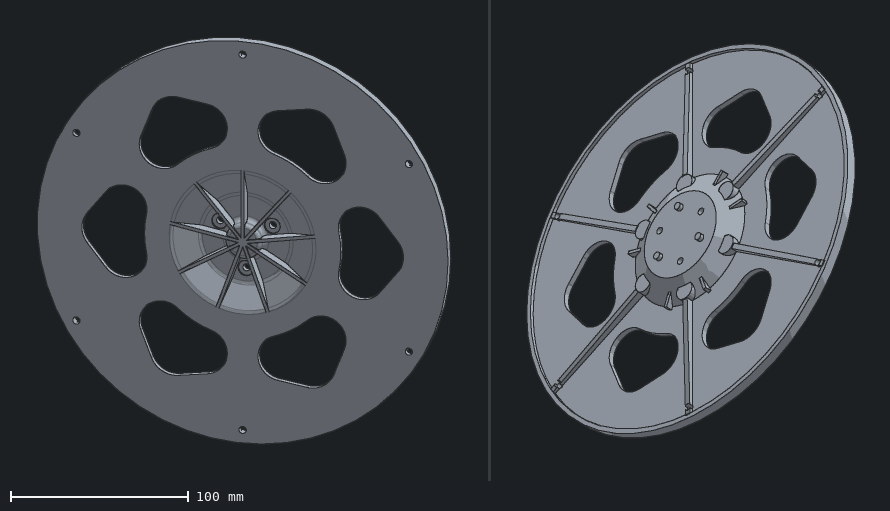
import cadquery as cq
import math

disc_radius = 120.0
sheet_thickness = 3.8
rim_height = 6.2
rim_wall = 3.0

window_count = 6
window_inner_radius = 57.4
window_corner_radius = 13.5
window_corner_angle = 11.5
window_tip_radius = 14.5
window_tip_center = 79.5

hole_diameter = 4.0
rim_hole_count = 6
rim_hole_circle = 112.0
hub_hole_count = 3
hub_hole_circle = 17.8
counterbore_diameter = 9.0
counterbore_depth = 1.2
first_hole_angle = 30.0

dish_depth = 7.0
dish_edge_radius = 41.8
dish_floor_radius = 26.6
dish_fillet = 5.0
hub_back_height = 12.2
hub_back_radius = 27.0
hub_back_slope = 0.6

boss_diameter = 21.0
boss_top_diameter = 16.5
boss_height = 6.0
boss_base_fillet = 3.0

dish_rib_count = 9
dish_rib_width = 2.0
dish_rib_length = 43.0

back_rib_count = 6
back_rib_width = 3.4
back_rib_start = 28.8
back_rib_inner_height = 8.5
back_rib_outer_height = 5.8
back_boss_diameter = 11.5
back_boss_circle = 35.5
back_boss_height = 9.0

pin_count = 3
pin_diameter = 4.3
pin_first_angle = 90.0
total_depth = 15.0

overlap = 1.2


def polar(radius, angle):
    """X and Z of a point at a radius and an angle in degrees."""
    return radius * math.cos(math.radians(angle)), radius * math.sin(math.radians(angle))


def ring_points(radius, count, first_angle):
    return [polar(radius, first_angle + 360 * i / count) for i in range(count)]


def cylinders(diameter, start, end, points):
    """Cylinders along Y between two depths."""
    plane = cq.Workplane("XZ", origin=(0, start, 0))
    return plane.pushPoints(points).circle(diameter / 2).extrude(start - end)


def revolve_about_y(profile):
    return profile.close().revolve(360, (0, 0, 0), (0, 1, 0))


def turn(shape, angle):
    """Turn a shape about the Y axis."""
    return shape.rotate((0, 0, 0), (0, 1, 0), angle)


def disc_blank():
    """Sheet with its rim wall and the solid hub behind the dish."""
    rim_inner = disc_radius - rim_wall
    hub_foot = hub_back_radius + (hub_back_height - sheet_thickness) / hub_back_slope
    profile = (
        cq.Workplane("XY")
        .lineTo(disc_radius, 0)
        .lineTo(disc_radius, rim_height)
        .lineTo(rim_inner, rim_height)
        .lineTo(rim_inner, sheet_thickness)
        .lineTo(hub_foot, sheet_thickness)
        .lineTo(hub_back_radius, hub_back_height)
        .lineTo(0, hub_back_height)
    )
    return revolve_about_y(profile)


def dish_cutter():
    """Conical dish, rounded where it meets the front face and the floor."""
    slope = math.atan2(dish_depth, dish_edge_radius - dish_floor_radius)
    tangent = dish_fillet * math.tan(slope / 2)
    along_x = tangent * math.cos(slope)
    along_y = tangent * math.sin(slope)
    mid_x = dish_fillet * math.sin(slope / 2)
    mid_y = dish_fillet * (1 - math.cos(slope / 2))
    edge_start = dish_edge_radius + tangent
    floor_end = dish_floor_radius - tangent
    profile = (
        cq.Workplane("XY")
        .lineTo(edge_start, 0)
        .threePointArc((edge_start - mid_x, mid_y), (dish_edge_radius - along_x, along_y))
        .lineTo(dish_floor_radius + along_x, dish_depth - along_y)
        .threePointArc((floor_end + mid_x, dish_depth - mid_y), (floor_end, dish_depth))
        .lineTo(0, dish_depth)
    )
    return revolve_about_y(profile)


def floor_boss():
    """Boss with a fillet at its base and a rounded top edge."""
    radius = boss_diameter / 2
    top_radius = boss_top_diameter / 2
    top_round = radius - top_radius
    top = dish_depth - boss_height
    foot = radius + boss_base_fillet
    diagonal = math.sqrt(0.5)
    base_mid = boss_base_fillet * (1 - diagonal)
    profile = (
        cq.Workplane("XY")
        .moveTo(0, dish_depth + overlap)
        .lineTo(foot, dish_depth + overlap)
        .lineTo(foot, dish_depth)
        .threePointArc((radius + base_mid, dish_depth - base_mid), (radius, dish_depth - boss_base_fillet))
        .lineTo(radius, top + top_round)
        .threePointArc(
            (top_radius + top_round * diagonal, top + top_round * (1 - diagonal)), (top_radius, top)
        )
        .lineTo(0, top)
    )
    return revolve_about_y(profile)


def dish_rib(angle):
    rib = cq.Workplane("XY").box(
        dish_rib_length, dish_depth + overlap, dish_rib_width, centered=(False, False, True)
    )
    return turn(rib, angle)


def back_rib(angle):
    """Rib that slopes down from a back boss to the rim wall."""
    rib_end = disc_radius - rim_wall / 2
    rib = (
        cq.Workplane("XY")
        .moveTo(back_rib_start, sheet_thickness - overlap)
        .lineTo(rib_end, sheet_thickness - overlap)
        .lineTo(rib_end, back_rib_outer_height)
        .lineTo(back_boss_circle, back_rib_inner_height)
        .lineTo(back_rib_start, back_rib_inner_height)
        .close()
        .extrude(back_rib_width / 2, both=True)
    )
    return turn(rib, angle)


def window_cutter():
    """Window with two round corners, a round tip and an inner side concentric with the disc."""
    corner = polar(window_inner_radius + window_corner_radius, window_corner_angle)
    tip = (window_tip_center, 0)
    run, rise = tip[0] - corner[0], tip[1] - corner[1]
    spread = math.acos((window_corner_radius - window_tip_radius) / math.hypot(run, rise))
    side_normal = math.degrees(math.atan2(rise, run) + spread)

    def on_arc(center, radius, angle):
        x, z = polar(radius, angle)
        return center[0] + x, center[1] + z

    def mirrored(point):
        return point[0], -point[1]

    inner_end = polar(window_inner_radius, window_corner_angle)
    corner_mid = on_arc(corner, window_corner_radius, (side_normal + 180 + window_corner_angle) / 2)
    corner_end = on_arc(corner, window_corner_radius, side_normal)
    tip_start = on_arc(tip, window_tip_radius, side_normal)
    return (
        cq.Workplane("XZ")
        .moveTo(*inner_end)
        .threePointArc(corner_mid, corner_end)
        .lineTo(*tip_start)
        .threePointArc((window_tip_center + window_tip_radius, 0), mirrored(tip_start))
        .lineTo(*mirrored(corner_end))
        .threePointArc(mirrored(corner_mid), mirrored(inner_end))
        .threePointArc((window_inner_radius, 0), inner_end)
        .close()
        .extrude(-total_depth)
    )


def make_disc():
    back_boss_points = ring_points(back_boss_circle, back_rib_count, first_hole_angle)
    rim_hole_points = ring_points(rim_hole_circle, rim_hole_count, first_hole_angle)
    hub_hole_points = ring_points(hub_hole_circle, hub_hole_count, first_hole_angle)
    pin_points = ring_points(hub_hole_circle, pin_count, pin_first_angle)

    body = disc_blank()
    body = body.union(
        cylinders(back_boss_diameter, sheet_thickness - overlap, back_boss_height, back_boss_points)
    )
    for i in range(back_rib_count):
        body = body.union(back_rib(first_hole_angle + 360 * i / back_rib_count))

    body = body.cut(dish_cutter())
    body = body.union(floor_boss())
    for i in range(dish_rib_count):
        body = body.union(dish_rib(-90 - 360 * i / dish_rib_count))

    window = window_cutter()
    for i in range(window_count):
        body = body.cut(turn(window, 360 * i / window_count))

    body = body.cut(cylinders(hole_diameter, -overlap, total_depth, rim_hole_points))
    body = body.cut(cylinders(hole_diameter, dish_depth - overlap, total_depth, hub_hole_points))
    body = body.cut(
        cylinders(counterbore_diameter, dish_depth, dish_depth + counterbore_depth, hub_hole_points)
    )

    return body.union(cylinders(pin_diameter, hub_back_height - overlap, total_depth, pin_points))


disc = make_disc()
result = cq.Compound.makeCompound([disc.val()])